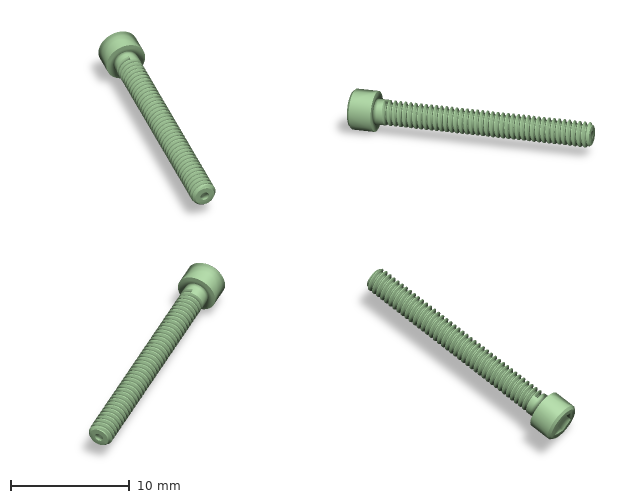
import cadquery as cq
import math

INCH = 25.4

head_diameter = 3.48
head_length = 0.085 * INCH
head_chamfer = 0.22

socket_across_flats = 5 / 64 * INCH
socket_depth = 0.9

shank_diameter = 0.086 * INCH
shank_length = 0.75 * INCH
tip_chamfer = 0.25
shank_seam_angle = 160
bore_diameter = 0.76

thread_pitch = INCH / 56
thread_half_angle = 30
crest_flat = thread_pitch / 8
root_flat = thread_pitch / 4
thread_start = 0.895
tip_groove_turns = 5
groove_overlap = 0.02


def make_head():
    """Cylindrical head with a chamfered outer rim."""
    return (
        cq.Workplane("YZ", origin=(-head_length, 0, 0))
        .circle(head_diameter / 2)
        .extrude(head_length)
        .faces("<X")
        .chamfer(head_chamfer)
    )


def make_shank():
    """Plain rod with a chamfered tip; its seam line is turned clear of the groove ends."""
    return (
        cq.Workplane("YZ")
        .circle(shank_diameter / 2)
        .extrude(shank_length)
        .faces(">X")
        .chamfer(tip_chamfer)
        .rotate((0, 0, 0), (1, 0, 0), shank_seam_angle)
    )


def make_socket():
    """Hexagonal prism with corners on the Z axis."""
    across_corners = socket_across_flats / math.cos(math.radians(30))
    return (
        cq.Workplane("YZ", origin=(-head_length, 0, 0))
        .transformed(rotate=(0, 0, 90))
        .polygon(6, across_corners)
        .extrude(socket_depth)
    )


def make_bore():
    """Cylinder running through the whole screw."""
    return (
        cq.Workplane("YZ", origin=(-head_length, 0, 0))
        .circle(bore_diameter / 2)
        .extrude(head_length + shank_length)
    )


def make_thread_groove(first_turn, last_turn):
    """Helical cutter with a trapezoidal section, covering the given turns of the thread."""
    flank_slope = math.tan(math.radians(thread_half_angle))
    shank_radius = shank_diameter / 2
    groove_half_width = (thread_pitch - crest_flat) / 2
    groove_depth = (groove_half_width - root_flat / 2) / flank_slope
    root_radius = shank_radius - groove_depth
    outer_radius = shank_radius + groove_overlap
    outer_half_width = groove_half_width + groove_overlap * flank_slope

    turns = last_turn - first_turn
    helix = cq.Wire.makeHelix(thread_pitch, turns * thread_pitch, root_radius)
    section = cq.Workplane("XZ").polyline(
        [
            (root_radius, -root_flat / 2),
            (outer_radius, -outer_half_width),
            (outer_radius, outer_half_width),
            (root_radius, root_flat / 2),
        ]
    ).close()
    groove = section.sweep(cq.Workplane(helix), isFrenet=True)
    along_x = groove.rotate((0, 0, 0), (0, 1, 0), 90).rotate((0, 0, 0), (1, 0, 0), 180)
    return along_x.translate((thread_start + first_turn * thread_pitch, 0, 0))


past_tip_turn = math.ceil((shank_length - thread_start) / thread_pitch) + 1
tip_groove_turn = past_tip_turn - tip_groove_turns
threaded_shank = (
    make_shank()
    .cut(make_thread_groove(tip_groove_turn, past_tip_turn))
    .cut(make_thread_groove(0, tip_groove_turn))
)

result = make_head().union(threaded_shank).cut(make_socket()).cut(make_bore())